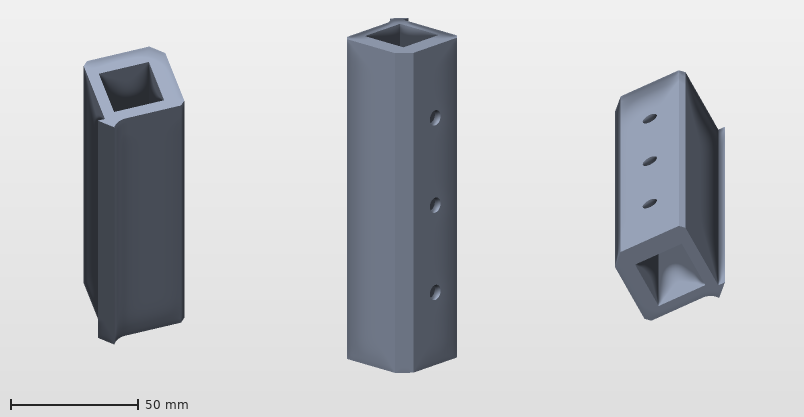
import cadquery as cq
import math

length = 132.8
body_side = 32.7
large_chamfer = 5.0
small_chamfer = 2.0

bore_side = 20.6
thick_wall = 7.6

overall_x = 35.7
overall_y = 35.6
barb_face_run = 5.2
barb_arc_radius = 6.6

hole_diameter = 6.2
hole_depth = 3.0
hole_pitch = 36.3
hole_count = 3

body_bottom = overall_y - body_side
bore_center_x = thick_wall + bore_side / 2
bore_center_y = overall_y - thick_wall - bore_side / 2


def make_body():
    """Extrude the chamfered square together with its barb."""
    barb_x = overall_x - barb_face_run
    arc_center_x = body_side + barb_arc_radius
    tip_angle = math.acos((arc_center_x - overall_x) / barb_arc_radius)
    arc_start_y = barb_face_run + barb_arc_radius * math.sin(tip_angle)
    arc_middle = (
        arc_center_x - barb_arc_radius * math.cos(tip_angle / 2),
        arc_start_y - barb_arc_radius * math.sin(tip_angle / 2),
    )
    return (
        cq.Workplane("XY")
        .moveTo(small_chamfer, body_bottom)
        .lineTo(barb_x, body_bottom)
        .lineTo(barb_x, 0)
        .lineTo(overall_x, barb_face_run)
        .threePointArc(arc_middle, (body_side, arc_start_y))
        .lineTo(body_side, overall_y - small_chamfer)
        .lineTo(body_side - small_chamfer, overall_y)
        .lineTo(large_chamfer, overall_y)
        .lineTo(0, overall_y - large_chamfer)
        .lineTo(0, body_bottom + small_chamfer)
        .close()
        .extrude(length)
    )


def make_bore():
    """Square bore running the full length."""
    return (
        cq.Workplane("XY")
        .center(bore_center_x, bore_center_y)
        .rect(bore_side, bore_side)
        .extrude(length)
    )


def make_holes():
    """Row of flat-bottomed blind holes in the -X face, centered along Z."""
    return (
        cq.Workplane("YZ")
        .center(bore_center_y, length / 2)
        .rarray(1.3, hole_pitch, 1, hole_count)
        .circle(hole_diameter / 2)
        .extrude(hole_depth)
    )


result = make_body().cut(make_bore()).cut(make_holes())